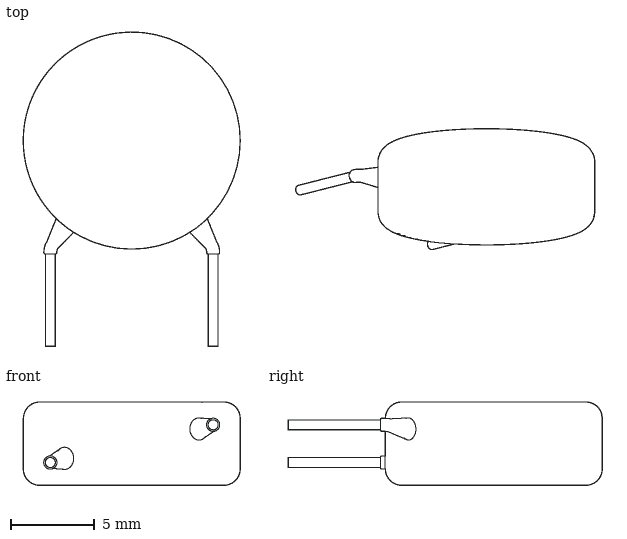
import cadquery as cq
import math

HOUSING_DIAMETER = 13.0
HOUSING_HEIGHT = 5.0
RIM_RADIUS = 1.0
OVERALL_LENGTH = 18.81
MID_HEIGHT = HOUSING_HEIGHT / 2

LEAD_DIAMETER = 0.6
LEAD_OFFSET_X = 4.87
LEAD_OFFSET_Z = 1.13
LEAD_TIP_Y = HOUSING_DIAMETER / 2 - OVERALL_LENGTH

SLEEVE_RADIUS = 0.4
SLEEVE_END_Y = -6.79
COLLAR_LENGTH = 0.11
COLLAR_ROUND = 0.1
BEND_RADIUS = 0.79
BEND_ANGLE = 34
BEND_ROLL = 15
CONE_LENGTH = 2.25
CONE_HALF_ANGLE = 11
CONE_END_RADIUS = SLEEVE_RADIUS + CONE_LENGTH * math.tan(math.radians(CONE_HALF_ANGLE))


def turn_about_mid_axis(body):
    """Half turn about the Y-parallel axis at mid-height, from the -X side to the +X side."""
    return body.rotate((0, 0, MID_HEIGHT), (0, 1, MID_HEIGHT), 180)


def make_disc():
    return (
        cq.Workplane("XY")
        .circle(HOUSING_DIAMETER / 2)
        .extrude(HOUSING_HEIGHT)
        .edges()
        .fillet(RIM_RADIUS)
    )


def make_sleeve():
    """Sleeve on the -X side, shaped about the Y axis and then moved onto its lead."""
    collar = (
        cq.Workplane("XZ")
        .circle(SLEEVE_RADIUS)
        .extrude(COLLAR_LENGTH)
        .faces("<Y")
        .edges()
        .fillet(COLLAR_ROUND)
    )
    elbow = (
        cq.Workplane("XZ")
        .circle(SLEEVE_RADIUS)
        .revolve(BEND_ANGLE, (BEND_RADIUS, 0), (BEND_RADIUS, -1))
    )

    bend = math.radians(BEND_ANGLE)
    cone_start = cq.Vector(BEND_RADIUS * (1 - math.cos(bend)), BEND_RADIUS * math.sin(bend), 0)
    cone_direction = cq.Vector(math.sin(bend), math.cos(bend), 0)
    cone = cq.Solid.makeCone(SLEEVE_RADIUS, CONE_END_RADIUS, CONE_LENGTH, cone_start, cone_direction)

    return (
        collar.union(elbow)
        .union(cq.Workplane(cone))
        .rotate((0, 0, 0), (0, 1, 0), -BEND_ROLL)
        .translate((-LEAD_OFFSET_X, SLEEVE_END_Y + COLLAR_LENGTH, MID_HEIGHT - LEAD_OFFSET_Z))
    )


def make_lead():
    """Straight wire on the -X side, from the end of its sleeve to its tip."""
    return (
        cq.Workplane("XZ", origin=(-LEAD_OFFSET_X, SLEEVE_END_Y, MID_HEIGHT - LEAD_OFFSET_Z))
        .circle(LEAD_DIAMETER / 2)
        .extrude(SLEEVE_END_Y - LEAD_TIP_Y)
    )


sleeve = make_sleeve()
housing = make_disc().union(sleeve).union(turn_about_mid_axis(sleeve))

lead = make_lead()
leads = [side.val() for side in (lead, turn_about_mid_axis(lead))]

result = cq.Compound.makeCompound([housing.val(), *leads])